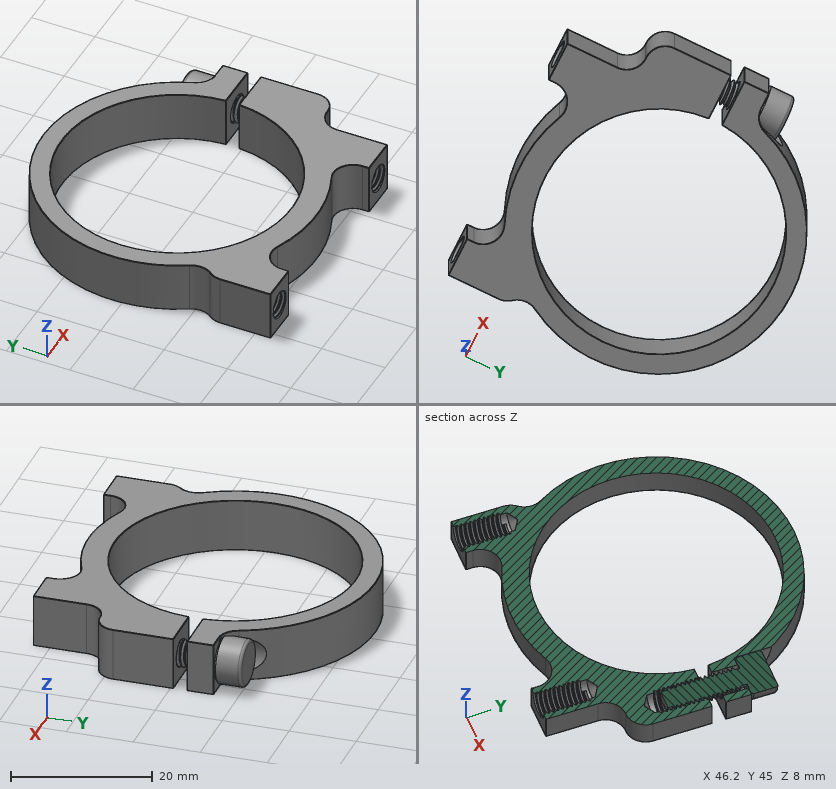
import cadquery as cq
import math

height = 8.0
bore_radius = 18.0
ring_radius = 21.0
base_radius = 21.95
fillet_radius = 3.0
edge_chamfer = 0.1
mid_height = height / 2

foot_width = 6.0
foot_outer = 19.0
foot_inner = foot_outer - foot_width
foot_center = foot_outer - foot_width / 2
foot_bottom = -23.95

ear_end = 25.15
half_gap = 1.0
ear_top = 5.0
ear_bottom = -13.0

head_diameter = 7.0
head_height = 4.05
head_top_round = 0.45
head_seat_chamfer = 0.3
screw_x = ear_end - head_diameter / 2
screw_length = 12.0
clearance_diameter = 4.4
thread_diameter = 4.0
screw_core_diameter = 3.1
tapped_core_diameter = 3.3
pitch = 0.7
crest_width = 0.1
root_overlap = 0.05
flank_angle = 30
thread_phase = 290
countersink_diameter = 4.2
thread_clearance = 0.025
tapped_depth = 8.0
drill_half_angle = 59


def at_angle(radius, angle):
    return (radius * math.cos(angle), radius * math.sin(angle))


def scaled(point, factor):
    return (point[0] * factor, point[1] * factor)


def arc_middle(center, start, end, radius):
    """Middle of the minor arc from start to end."""
    dx = (start[0] + end[0]) / 2 - center[0]
    dy = (start[1] + end[1]) / 2 - center[1]
    length = math.hypot(dx, dy)
    return (center[0] + dx * radius / length, center[1] + dy * radius / length)


def clamp_outline():
    """Closed C-shaped outline: outer contour, split and bore."""
    r = fillet_radius
    ring_offset = ring_radius + r
    base_offset = base_radius + r

    ear_fillet_y = ear_top + r
    ear_fillet = (math.sqrt(ring_offset**2 - ear_fillet_y**2), ear_fillet_y)
    ear_fillet_start = (ear_fillet[0], ear_top)
    ear_fillet_end = scaled(ear_fillet, ring_radius / ring_offset)

    shoulder = (-foot_outer + r, ear_bottom - r)
    shoulder_reach = math.hypot(*shoulder)
    cos_turn = (shoulder_reach**2 + ring_offset**2 - (2 * r)**2) / (2 * shoulder_reach * ring_offset)
    blend_angle = math.atan2(shoulder[1], shoulder[0]) - math.acos(cos_turn)
    blend = at_angle(ring_offset, blend_angle)
    blend_start = at_angle(ring_radius, blend_angle)
    blend_end = ((blend[0] + shoulder[0]) / 2, (blend[1] + shoulder[1]) / 2)
    shoulder_end = (-foot_outer, shoulder[1])

    foot_fillet_x = foot_inner - r
    foot_fillet_y = -math.sqrt(base_offset**2 - foot_fillet_x**2)
    left_fillet = (-foot_fillet_x, foot_fillet_y)
    right_fillet = (foot_fillet_x, foot_fillet_y)
    left_fillet_start = (-foot_inner, foot_fillet_y)
    left_fillet_end = scaled(left_fillet, base_radius / base_offset)
    right_fillet_start = scaled(right_fillet, base_radius / base_offset)
    right_fillet_end = (foot_inner, foot_fillet_y)

    ear_root = (foot_outer + r, ear_bottom - r)
    ear_corner = (ear_end - r, ear_bottom + r)
    root_start = (foot_outer, ear_root[1])
    root_end = (ear_root[0], ear_bottom)
    corner_start = (ear_corner[0], ear_bottom)
    corner_end = (ear_end, ear_corner[1])

    bore_gap_x = math.sqrt(bore_radius**2 - half_gap**2)

    return (
        cq.Workplane("XY")
        .moveTo(ear_end, half_gap)
        .lineTo(ear_end, ear_top)
        .lineTo(*ear_fillet_start)
        .threePointArc(arc_middle(ear_fillet, ear_fillet_start, ear_fillet_end, r), ear_fillet_end)
        .threePointArc((0, ring_radius), blend_start)
        .threePointArc(arc_middle(blend, blend_start, blend_end, r), blend_end)
        .threePointArc(arc_middle(shoulder, blend_end, shoulder_end, r), shoulder_end)
        .lineTo(-foot_outer, foot_bottom)
        .lineTo(-foot_inner, foot_bottom)
        .lineTo(*left_fillet_start)
        .threePointArc(arc_middle(left_fillet, left_fillet_start, left_fillet_end, r), left_fillet_end)
        .threePointArc((0, -base_radius), right_fillet_start)
        .threePointArc(arc_middle(right_fillet, right_fillet_start, right_fillet_end, r), right_fillet_end)
        .lineTo(foot_inner, foot_bottom)
        .lineTo(foot_outer, foot_bottom)
        .lineTo(*root_start)
        .threePointArc(arc_middle(ear_root, root_start, root_end, r), root_end)
        .lineTo(*corner_start)
        .threePointArc(arc_middle(ear_corner, corner_start, corner_end, r), corner_end)
        .lineTo(ear_end, -half_gap)
        .lineTo(bore_gap_x, -half_gap)
        .threePointArc((-bore_radius, 0), (bore_gap_x, half_gap))
        .close()
    )


def thread_ridge(core_diameter, start, end, clearance=0):
    """Helical ridge around +Z between two heights, always in step with the pitch.

    The clearance thickens the ridge, for use as the cutter of an internal thread.
    """
    root = core_diameter / 2 - root_overlap
    crest = thread_diameter / 2 + clearance
    half_crest = crest_width / 2 + clearance
    half_root = half_crest + (crest - root) * math.tan(math.radians(flank_angle))
    helix = cq.Wire.makeHelix(pitch, end - start, root)
    ridge = (
        cq.Workplane("XZ")
        .polyline([(root, -half_root), (crest, -half_crest), (crest, half_crest), (root, half_root)])
        .close()
        .sweep(cq.Workplane(obj=helix), isFrenet=True)
    )
    start_angle = thread_phase + 360 * start / pitch
    return ridge.translate((0, 0, start)).rotate((0, 0, 0), (0, 0, 1), start_angle)


def turned(profile):
    """Solid of revolution about Z from (radius, height) points."""
    return cq.Workplane("XZ").polyline(profile).close().revolve(360, (0, 0), (0, 1))


def tapped_hole():
    """Threaded blind hole with a drill point, entering along +Z from Z = 0."""
    core_radius = tapped_core_diameter / 2
    countersink_radius = countersink_diameter / 2
    point_depth = core_radius / math.tan(math.radians(drill_half_angle))
    drill = turned([
        (0, -pitch),
        (core_radius, -pitch),
        (core_radius, tapped_depth),
        (0, tapped_depth + point_depth),
    ])
    countersink_depth = countersink_radius - core_radius
    countersink = turned([
        (0, 0),
        (countersink_radius, 0),
        (core_radius, countersink_depth),
        (0, countersink_depth),
    ])
    groove = thread_ridge(tapped_core_diameter, -pitch, tapped_depth - pitch, thread_clearance)
    return drill.union(groove).union(countersink)


def facing_plus_y(shape, x, y):
    """Turn a shape built along +Z to point toward +Y and place it at mid height."""
    return shape.rotate((0, 0, 0), (1, 0, 0), -90).translate((x, y, mid_height))


def facing_minus_y(shape, x, y):
    """Turn a shape built along +Z to point toward -Y and place it at mid height."""
    return shape.rotate((0, 0, 0), (1, 0, 0), 90).translate((x, y, mid_height))


def make_clamp():
    clamp = clamp_outline().extrude(height)
    corners = [(ear_end, ear_top), (ear_end, half_gap), (ear_end, -half_gap)]
    corners += [(bore_radius, half_gap), (bore_radius, -half_gap)]
    corners += [(side * x, foot_bottom) for side in (-1, 1) for x in (foot_inner, foot_outer)]
    for x, y in corners:
        nearest = cq.selectors.NearestToPointSelector((x, y, mid_height))
        clamp = clamp.edges("|Z").edges(nearest).chamfer(edge_chamfer)
    clamp = clamp.faces(">Z or <Z").edges().chamfer(edge_chamfer)

    for side in (-1, 1):
        clamp = clamp.cut(facing_plus_y(tapped_hole(), side * foot_center, foot_bottom))

    clearance = cq.Workplane("XY").circle(clearance_diameter / 2).extrude(ear_top)
    clamp = clamp.cut(facing_minus_y(clearance, screw_x, ear_top))
    head_pocket = cq.Workplane("XY").circle(head_diameter / 2).extrude(ring_radius)
    clamp = clamp.cut(facing_plus_y(head_pocket, screw_x, ear_top))
    return clamp.cut(facing_minus_y(tapped_hole(), screw_x, -half_gap))


def make_screw():
    """Screw along +Z with Z = 0 at the tapped face, so both threads are in step."""
    seat = -half_gap - ear_top
    tip = seat + screw_length
    head = cq.Workplane("XY").workplane(offset=seat).circle(head_diameter / 2).extrude(-head_height)
    head = head.faces("<Z").edges().fillet(head_top_round)
    head = head.faces(">Z").edges().chamfer(head_seat_chamfer)
    core = cq.Workplane("XY").workplane(offset=seat).circle(screw_core_diameter / 2).extrude(screw_length)
    thread = thread_ridge(screw_core_diameter, seat + pitch, tip - pitch)
    return head.union(core).union(thread)


clamp = make_clamp()
screw = facing_minus_y(make_screw(), screw_x, -half_gap)
result = cq.Compound.makeCompound([clamp.solids().val(), screw.solids().val()])